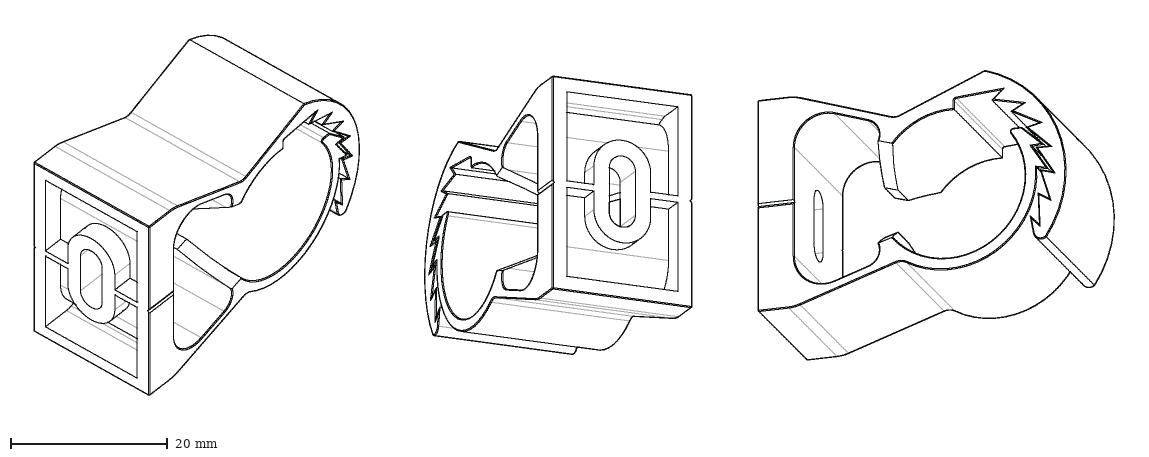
import cadquery as cq
import math

WIDTH = 19.4
EDGE_CHAMFER = 0.12

FOOT_HALF_HEIGHT = 14.3
SHOULDER_Y = 4.95
SHOULDER_RADIUS = 4.97
NECK_Y = 18.5
NECK_HALF_HEIGHT = 9.85
NECK_RADIUS = 1.8
LOWER_NECK_OFFSET = 0.83

RING_Y = 25.9
BORE_RADIUS = 10.05
RING_RADIUS = 11.6

HOOK_RADIUS = 41.45 - RING_Y
APEX_Z = 14.85
APEX_Y = RING_Y + math.sqrt(HOOK_RADIUS**2 - APEX_Z**2)
HOOK_END_ANGLE = -34
HOOK_NOSE_START = (37.05, -8.0)
STOP_Y = 26.4
STOP_Z = 11.5
STOP_FILLET = 0.35

TOOTH_PITCH = 15
HOOK_VALLEY_ANGLE = 60
HOOK_TOOTH_COUNT = 7
HOOK_VALLEY_RADIUS = 13.8
HOOK_TIP_RADIUS = 12.05
HOOK_TIP_LEAD = 2.5
ARM_TIP_ANGLE = 17.3
ARM_TOOTH_COUNT = 2
ARM_TIP_RADIUS = 13.15
ARM_ROOT_LEAD = 2
ARM_END_Z = 6.55
ARM_END_FILLET = 0.4

CAVITY_WALL_Y = 4.9
CAVITY_CORNER_RADIUS = 4.15
CAVITY_TONGUE_RADIUS = 2.15
STRUT_THICKNESS = 1.15
TONGUE_RADIUS = 11.95
TONGUE_TIP_ANGLE = 16.5
TONGUE_TIP_WIDTH = 4.15
TONGUE_LENGTH = 3.9
TRIM_OVERRUN = 0.83

POCKET_WIDTH = 15.38
POCKET_RIM = 1.9
POCKET_DEPTH = 3.0
POCKET_FLOOR_HEIGHT = 14.67
POCKET_END_Y = 6.2
WEB_THICKNESS = 0.85
BOSS_WIDTH = 7.88
BOSS_HEIGHT = 13.75
SLOT_WIDTH = 3.6
SLOT_HEIGHT = 9.55

GROOVE_DEPTH = 0.3
GROOVE_HALF_WIDTH = 0.3

STRUT_SLOPE = (FOOT_HALF_HEIGHT - NECK_HALF_HEIGHT) / (NECK_Y - SHOULDER_Y)
STRUT_STRETCH = math.hypot(1, STRUT_SLOPE)


def polar(radius, angle):
    """Point (Y, Z) at an angle about the ring axis, measured from +Y towards +Z."""
    a = math.radians(angle)
    return (RING_Y + radius * math.cos(a), radius * math.sin(a))


def mirrored(points):
    """Upper points followed by their mirror images below Z = 0, in reverse order."""
    return points + [(y, -z) for y, z in reversed(points)]


def side_plane():
    return cq.Workplane("YZ")


def extrude(outline, width=WIDTH):
    """Extrude a closed (Y, Z) outline symmetrically across the width."""
    return outline.extrude(width / 2, both=True)


def cylinder(radius):
    return extrude(side_plane().center(RING_Y, 0).circle(radius))


def round_edges(solid, points, radius):
    """Fillet the X-parallel edges that pass closest to the given (Y, Z) points."""
    for y, z in points:
        solid = solid.edges("|X").edges(cq.NearestToPointSelector((0, y, z))).fillet(radius)
    return solid


def strut_z(y, inset):
    """Height of a line running parallel to the strut's outer face, a given distance inside it."""
    return FOOT_HALF_HEIGHT - STRUT_SLOPE * (y - SHOULDER_Y) - inset * STRUT_STRETCH


def make_hook():
    """Hook with its ratchet teeth and rounded nose."""
    teeth = []
    for i in range(HOOK_TOOTH_COUNT):
        valley_angle = HOOK_VALLEY_ANGLE - i * TOOTH_PITCH
        teeth.append(polar(HOOK_VALLEY_RADIUS, valley_angle))
        teeth.append(polar(HOOK_TIP_RADIUS, valley_angle + HOOK_TIP_LEAD))
    outline = side_plane().moveTo(APEX_Y, APEX_Z).lineTo(STOP_Y, STOP_Z)
    for point in teeth:
        outline = outline.lineTo(*point)
    outline = (
        outline.lineTo(*HOOK_NOSE_START)
        .tangentArcPoint(polar(HOOK_RADIUS, HOOK_END_ANGLE), relative=False)
        .threePointArc(polar(HOOK_RADIUS, 0), (APEX_Y, APEX_Z))
        .close()
    )
    return extrude(outline)


def make_ring():
    """Round jaw with its upper outer quarter open and two teeth behind its free end."""
    ring = cylinder(RING_RADIUS)
    opening = extrude(
        side_plane().moveTo(STOP_Y, ARM_END_Z).rect(HOOK_RADIUS, HOOK_RADIUS, centered=False)
    )
    arm_root_y = RING_Y + math.sqrt(RING_RADIUS**2 - ARM_END_Z**2)
    teeth = [polar(BORE_RADIUS, 0), (RING_Y, ARM_END_Z), (arm_root_y, ARM_END_Z)]
    for i in range(ARM_TOOTH_COUNT):
        tip_angle = ARM_TIP_ANGLE - i * TOOTH_PITCH
        teeth.append(polar(ARM_TIP_RADIUS, tip_angle))
        teeth.append(polar(RING_RADIUS, tip_angle + ARM_ROOT_LEAD))
    return ring.cut(opening).union(extrude(side_plane().polyline(teeth).close()))


def make_foot():
    """Foot, both struts and the roof that carries the hook, still solid inside."""
    outline = [
        (0, -FOOT_HALF_HEIGHT),
        (0, FOOT_HALF_HEIGHT),
        (SHOULDER_Y, FOOT_HALF_HEIGHT),
        (NECK_Y, NECK_HALF_HEIGHT),
        (APEX_Y, APEX_Z),
        (STOP_Y, STOP_Z),
        (STOP_Y, -strut_z(STOP_Y, 0)),
        (SHOULDER_Y, -FOOT_HALF_HEIGHT),
    ]
    foot = extrude(side_plane().polyline(outline).close())
    shoulders = mirrored([(SHOULDER_Y, FOOT_HALF_HEIGHT)])
    return round_edges(foot, shoulders, SHOULDER_RADIUS)


def make_cavity():
    """Opening between the foot and the two tongues."""
    wall_corner = (CAVITY_WALL_Y, strut_z(CAVITY_WALL_Y, STRUT_THICKNESS))
    outline = mirrored([wall_corner, (RING_Y, strut_z(RING_Y, STRUT_THICKNESS))])
    cavity = extrude(side_plane().polyline(outline).close()).cut(cylinder(TONGUE_RADIUS))
    cavity = round_edges(cavity, mirrored([wall_corner]), CAVITY_CORNER_RADIUS)
    tongue_corner = (NECK_Y, strut_z(NECK_Y, STRUT_THICKNESS))
    return round_edges(cavity, mirrored([tongue_corner]), CAVITY_TONGUE_RADIUS)


def make_tongue_gap():
    """Wedge between the tips of the tongues."""
    reach = RING_Y - CAVITY_WALL_Y
    tip_line_end = polar(reach, 180 - TONGUE_TIP_ANGLE)
    return extrude(side_plane().polyline([(RING_Y, 0)] + mirrored([tip_line_end])).close())


def make_tongue_trims():
    """Corner wedges that taper the upper tongue from full width to its tip width."""
    half_width = WIDTH / 2
    half_tip = TONGUE_TIP_WIDTH / 2
    radial = cq.Plane(origin=(0, RING_Y, 0), xDir=(1, 0, 0), normal=(0, -1, 0))
    radial = radial.rotated((-TONGUE_TIP_ANGLE, 0, 0))
    trims = cq.Workplane(radial)
    for side in (-1, 1):
        trims = trims.polyline(
            [(side * half_tip, 0), (side * half_width, 0), (side * half_width, TONGUE_LENGTH)]
        ).close()
    return trims.extrude(TONGUE_RADIUS + TRIM_OVERRUN)


def make_profile():
    """Clip body with its bore, cavity and rounded corners, chamfered along its side edges."""
    profile = make_foot().union(make_ring()).union(make_hook())
    neck_z = math.sqrt(RING_RADIUS**2 - (RING_Y - NECK_Y) ** 2)
    necks = [(NECK_Y, NECK_HALF_HEIGHT), (NECK_Y + LOWER_NECK_OFFSET, -neck_z)]
    profile = round_edges(profile, necks, NECK_RADIUS)
    profile = profile.cut(cylinder(BORE_RADIUS)).cut(make_cavity()).cut(make_tongue_gap())
    arm_end_y = RING_Y + math.sqrt(BORE_RADIUS**2 - ARM_END_Z**2)
    profile = round_edges(profile, [(STOP_Y, STOP_Z)], STOP_FILLET)
    profile = round_edges(profile, [(arm_end_y, ARM_END_Z)], ARM_END_FILLET)
    return profile.faces("<X or >X or <Y").edges().chamfer(EDGE_CHAMFER)


def make_pocket():
    """Hollow behind the foot face, leaving the web and the slotted boss standing."""
    rim_z = FOOT_HALF_HEIGHT - POCKET_RIM
    bend_y = SHOULDER_Y - POCKET_RIM * (STRUT_STRETCH - 1) / STRUT_SLOPE
    end = (POCKET_END_Y, strut_z(POCKET_END_Y, POCKET_RIM))
    floor_z = POCKET_FLOOR_HEIGHT / 2
    outline = (
        side_plane()
        .moveTo(POCKET_DEPTH, 0)
        .lineTo(POCKET_DEPTH, floor_z)
        .tangentArcPoint(end, relative=False)
        .lineTo(bend_y, rim_z)
        .lineTo(0, rim_z)
        .lineTo(0, 0)
        .close()
    )
    half = extrude(outline, POCKET_WIDTH)
    half = round_edges(half, [(bend_y, rim_z)], SHOULDER_RADIUS - POCKET_RIM)
    pocket = half.union(half.mirror("XY"))
    face = cq.Workplane("XZ")
    web = face.rect(WIDTH, WEB_THICKNESS).extrude(-POCKET_DEPTH)
    boss = face.slot2D(BOSS_HEIGHT, BOSS_WIDTH, 90).extrude(-POCKET_DEPTH)
    slot = face.slot2D(SLOT_HEIGHT, SLOT_WIDTH, 90).extrude(-CAVITY_WALL_Y)
    return pocket.cut(web).cut(boss).union(slot)


def make_grooves():
    """V grooves across both outer sides of the foot at mid height."""
    half_width = WIDTH / 2
    grooves = cq.Workplane("XZ")
    for side in (-1, 1):
        grooves = grooves.polyline(
            [
                (side * half_width, GROOVE_HALF_WIDTH),
                (side * (half_width - GROOVE_DEPTH), 0),
                (side * half_width, -GROOVE_HALF_WIDTH),
            ]
        ).close()
    return grooves.extrude(-CAVITY_WALL_Y)


trims = make_tongue_trims()
result = make_profile().cut(make_pocket()).cut(make_grooves()).cut(trims).cut(trims.mirror("XY"))